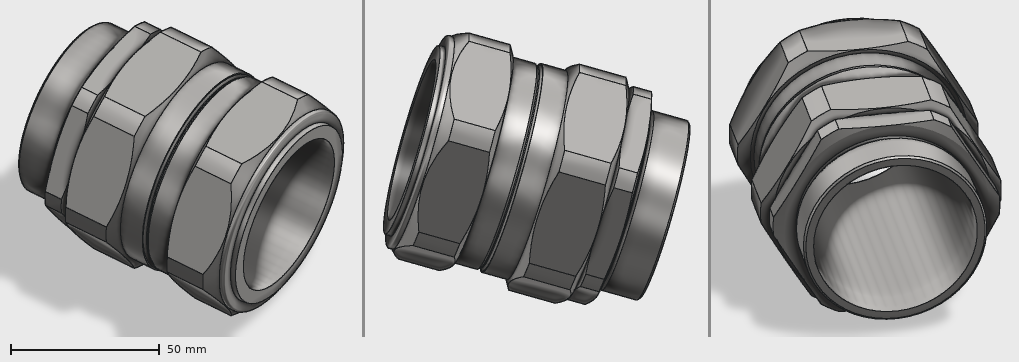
import cadquery as cq
import math

LENGTH = 88.5
BORE_RADIUS = 28.05

THREAD_RADIUS = 31.4
THREAD_END = 12.9
THREAD_CHAMFER = 0.7
RELIEF_RADIUS = 30.4
RELIEF_FLOOR = 0.3

LOCK_START = 15.0
LOCK_END = 23.4
LOCK_FLATS = 70.5
LOCK_CORNER_RADIUS = 38.85
LOCK_BEVEL_ANGLE = 15.0

HEX_FLATS = 75.0
HEX_CORNER_RADIUS = 41.2
HEX_FACE_RADIUS = 37.3
HEX_BEVEL_ANGLE = 30.0

BODY_HEX_END = 44.7
FRONT_BARREL_RADIUS = 36.55
FRONT_BARREL_END = 53.45
REAR_BARREL_RADIUS = 36.0
GROOVE_DEPTH = 0.8
GROOVE_FLOOR = 0.4

CLAMP_START = 64.1
CLAMP_HEX_END = 80.8
RIM_END = 86.6
RIM_FILLET = 0.9

COLLAR_FRONT_RADIUS = 33.2
COLLAR_END_RADIUS = 32.9


def turned(profile):
    """Solid of revolution about X from (x, radius) points; the axis closes the profile."""
    first_x = profile[0][0]
    last_x = profile[-1][0]
    outline = [(first_x, 0), *profile, (last_x, 0)]
    return cq.Workplane("XY").polyline(outline).close().revolve(360, (0, 0, 0), (1, 0, 0))


def hexagon(across_flats, profile):
    """Hexagonal bar with flats facing +Z and -Z, turned down to the profile."""
    across_corners = across_flats / math.cos(math.radians(30))
    start = profile[0][0]
    length = profile[-1][0] - start
    bar = cq.Workplane("YZ", origin=(start, 0, 0)).polygon(6, across_corners).extrude(length)
    return bar.intersect(turned(profile))


def bevel_length(radius_drop, angle):
    """Axial length of a bevel whose angle is measured from the end face."""
    return radius_drop * math.tan(math.radians(angle))


def entry_thread():
    relief_depth = THREAD_RADIUS - RELIEF_RADIUS
    relief_start = THREAD_END + relief_depth
    relief_end = relief_start + RELIEF_FLOOR
    return turned([
        (0, THREAD_RADIUS - THREAD_CHAMFER),
        (THREAD_CHAMFER, THREAD_RADIUS),
        (THREAD_END, THREAD_RADIUS),
        (relief_start, RELIEF_RADIUS),
        (relief_end, RELIEF_RADIUS),
        (LOCK_START, RELIEF_RADIUS + LOCK_START - relief_end),
        (LOCK_END, RELIEF_RADIUS),
    ])


def lock_nut():
    face_radius = LOCK_FLATS / 2
    bevel = bevel_length(LOCK_CORNER_RADIUS - face_radius, LOCK_BEVEL_ANGLE)
    return hexagon(LOCK_FLATS, [
        (LOCK_START, face_radius),
        (LOCK_START + bevel, LOCK_CORNER_RADIUS),
        (LOCK_END - bevel, LOCK_CORNER_RADIUS),
        (LOCK_END, face_radius),
    ])


def body():
    front_bevel = bevel_length(HEX_CORNER_RADIUS - HEX_FACE_RADIUS, HEX_BEVEL_ANGLE)
    rear_bevel = bevel_length(HEX_CORNER_RADIUS - FRONT_BARREL_RADIUS, HEX_BEVEL_ANGLE)
    nut = hexagon(HEX_FLATS, [
        (LOCK_END, HEX_FACE_RADIUS),
        (LOCK_END + front_bevel, HEX_CORNER_RADIUS),
        (BODY_HEX_END - rear_bevel, HEX_CORNER_RADIUS),
        (BODY_HEX_END, FRONT_BARREL_RADIUS),
    ])
    floor_radius = REAR_BARREL_RADIUS - GROOVE_DEPTH
    floor_start = FRONT_BARREL_END + GROOVE_DEPTH
    floor_end = floor_start + GROOVE_FLOOR
    barrels = turned([
        (BODY_HEX_END, FRONT_BARREL_RADIUS),
        (FRONT_BARREL_END, FRONT_BARREL_RADIUS),
        (FRONT_BARREL_END, REAR_BARREL_RADIUS),
        (floor_start, floor_radius),
        (floor_end, floor_radius),
        (floor_end + GROOVE_DEPTH, REAR_BARREL_RADIUS),
        (CLAMP_START, REAR_BARREL_RADIUS),
    ])
    return nut.union(barrels)


def clamping_nut():
    bevel = bevel_length(HEX_CORNER_RADIUS - HEX_FACE_RADIUS, HEX_BEVEL_ANGLE)
    rim_start = CLAMP_HEX_END + HEX_CORNER_RADIUS - HEX_FACE_RADIUS
    nut = hexagon(HEX_FLATS, [
        (CLAMP_START, HEX_FACE_RADIUS),
        (CLAMP_START + bevel, HEX_CORNER_RADIUS),
        (CLAMP_HEX_END, HEX_CORNER_RADIUS),
        (rim_start, HEX_FACE_RADIUS),
    ])
    rim = turned([(rim_start, HEX_FACE_RADIUS), (RIM_END, HEX_FACE_RADIUS)])
    return nut.union(rim.faces(">X").edges().fillet(RIM_FILLET))


def collar():
    return turned([(RIM_END, COLLAR_FRONT_RADIUS), (LENGTH, COLLAR_END_RADIUS)])


bore = turned([(0, BORE_RADIUS), (LENGTH, BORE_RADIUS)])
gland = entry_thread().union(lock_nut()).union(body()).union(clamping_nut()).union(collar())
result = gland.cut(bore)